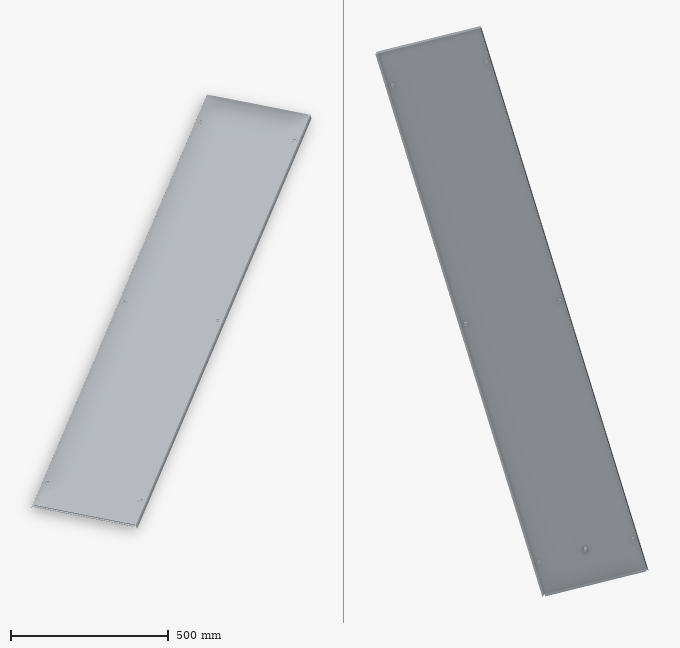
import cadquery as cq
import math

LENGTH = 1996.0
WIDTH = 350.0
HEIGHT = 22.0

SHEET = 1.2
COVER_DEPTH = 14.4
SIDE_LEAN = math.radians(17.2)

LIP_LENGTH = 5.5
LIP_WIDTH = 333.0
LIP_DROP = 2.5

STUD_DIAMETER = 10.0
STUD_SETBACK = 130.0
PAD_DIAMETER = 12.0
PAD_HEIGHT = 1.0
PAD_SPACING = 28.0

SCREW_EDGE_DISTANCE = 20.0
SCREW_PITCH = 875.0
SCREW_ROW_OFFSET = -3.0
HEAD_DIAMETER = 17.2
HEAD_HEIGHT = 0.5
SHANK_DIAMETER = 12.0
SHANK_LENGTH = 8.0
SOCKET_DIAMETER = 8.0
SOCKET_DEPTH = 2.0

BACK_Y = LENGTH / 2
LIP_FRONT_Y = -LENGTH / 2
COVER_FRONT_Y = LIP_FRONT_Y + LIP_LENGTH
STUD_Y = LIP_FRONT_Y + STUD_SETBACK
PAD_Y = STUD_Y + PAD_SPACING
HEAD_TOP_Z = HEIGHT / 2
TOP_Z = HEAD_TOP_Z - HEAD_HEIGHT
UNDER_Z = TOP_Z - SHEET
FOOT_Z = TOP_Z - COVER_DEPTH
STUD_END_Z = -HEIGHT / 2

SCREW_X = WIDTH / 2 - SCREW_EDGE_DISTANCE
SCREW_PLACES = [
    (side * SCREW_X, SCREW_ROW_OFFSET + row * SCREW_PITCH)
    for side in (-1, 1)
    for row in (-1, 0, 1)
]


def cylinder(x, y, diameter, bottom_z, top_z):
    """Upright cylinder between two levels."""
    return (
        cq.Workplane("XY", origin=(x, y, bottom_z))
        .circle(diameter / 2)
        .extrude(top_z - bottom_z)
    )


def block(width, front_y, back_y, bottom_z, top_z):
    """Box centred on X between two Y positions and two levels."""
    return (
        cq.Workplane("XY", origin=(0, (front_y + back_y) / 2, bottom_z))
        .rect(width, back_y - front_y)
        .extrude(top_z - bottom_z)
    )


def leaning_block(foot_width, top_z, front_y, back_y):
    """Block on the foot level whose sides lean inward toward its top."""
    top_width = foot_width - 2 * (top_z - FOOT_Z) * math.tan(SIDE_LEAN)
    return (
        cq.Workplane("XZ", origin=(0, back_y, 0))
        .polyline([
            (-foot_width / 2, FOOT_Z),
            (foot_width / 2, FOOT_Z),
            (top_width / 2, top_z),
            (-top_width / 2, top_z),
        ])
        .close()
        .extrude(back_y - front_y)
    )


def make_tray():
    """Top sheet with leaning side walls and an upright back wall."""
    outside = leaning_block(WIDTH, TOP_Z, COVER_FRONT_Y, BACK_Y)
    wall_width = SHEET / math.cos(SIDE_LEAN)
    hollow = leaning_block(WIDTH - 2 * wall_width, UNDER_Z, COVER_FRONT_Y, BACK_Y - SHEET)
    return outside.cut(hollow)


def make_lip():
    """Riser below the front edge of the top sheet, and the strip it carries."""
    strip_top_z = TOP_Z - LIP_DROP
    strip_bottom_z = strip_top_z - SHEET
    riser = block(LIP_WIDTH, COVER_FRONT_Y, COVER_FRONT_Y + SHEET, strip_bottom_z, UNDER_Z)
    strip = block(LIP_WIDTH, LIP_FRONT_Y, COVER_FRONT_Y, strip_bottom_z, strip_top_z)
    return riser.union(strip)


def make_cover():
    stud = cylinder(0, STUD_Y, STUD_DIAMETER, STUD_END_Z, UNDER_Z)
    pad = cylinder(0, PAD_Y, PAD_DIAMETER, UNDER_Z - PAD_HEIGHT, UNDER_Z)
    body = make_tray().union(make_lip()).union(stud).union(pad)
    for x, y in SCREW_PLACES:
        body = body.cut(cylinder(x, y, SHANK_DIAMETER, UNDER_Z, TOP_Z))
    return body


def make_screw(x, y):
    """Low round head on the top sheet, a shank through it and a round socket."""
    head = cylinder(x, y, HEAD_DIAMETER, TOP_Z, HEAD_TOP_Z)
    shank = cylinder(x, y, SHANK_DIAMETER, TOP_Z - SHANK_LENGTH, TOP_Z)
    socket = cylinder(x, y, SOCKET_DIAMETER, HEAD_TOP_Z - SOCKET_DEPTH, HEAD_TOP_Z)
    return head.union(shank).cut(socket)


cover = make_cover()
screws = [make_screw(x, y) for x, y in SCREW_PLACES]

result = cq.Compound.makeCompound([cover.val(), *[screw.val() for screw in screws]])